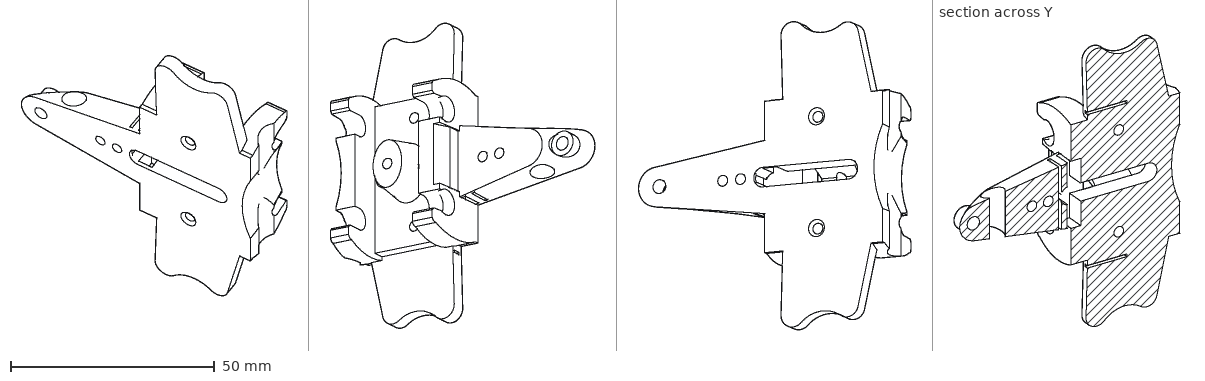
import cadquery as cq
import math

OVERSHOOT = 3.8

body_front = 28.4
body_rear = 60.3
body_half_width = 18.9
hub_height = 7.1

tail_height = 8.0
nose_radius = 4.95
nose_x = -0.7
tail_root_half_width = 9.15
root_overlap = 0.8
nose_slope = [(0, 0), (1.4, 0.8), (2.7, 2.2), (4.2, 4.1), (5.95, 6.7), (7.2, 8.55), (tail_height, 10.2)]
boss_diameter = 6.25
boss_height = 6.0
pin_hole_diameter = 3.4
cross_hole_diameter = 6.0
cross_hole_x = 7.0
cross_hole_y = 4.1
tail_slit = (24.9, 25.65)
tail_channel = (27.5, 31.3)
slit_bottom = 1.1

wing_thickness = 3.9
wing_tip = 38.2
wing_root_front = 33.3
wing_root_rear = 57.2
front_lobe_radius = 3.2
front_lobe_x = 36.0
rear_lobe_radius = 3.05
rear_lobe_x = 50.7
rear_lobe_z = 33.8
lobe_hollow_radius = 8.4
wing_slit_z = 21.1
wing_slit_height = 0.6
wing_slit_top = 3.1
wing_slit_depth = 11.45

hook_height = 19.0
hook_front_rear = 35.35
hook_rear_front = 53.9
hook_face_lean = 1.15
hook_face_lean_middle = 0.3
hook_crown = 20.5
hook_crown_y = 8.5
hook_foot_y = 1.15
tip_corner = 0.6
tip_outer_z = 17.4
tip_round_start = (17.6, 18.4)
tip_round_middle = (18.6, 18.0)
lip_height = 16.1
notch_y = 14.05
notch_z = 12.05
notch_radius = 2.75
flare_face = 28.6
flare_radius = 3.35
flare_offset = 0.6
flare_depth = 2.7
web_half_width = 7.9
web_face = 29.1
web_bevel_y = 11.75
web_bevel_x = 31.1

scallop_depth = 2.4
scallop_half_chord = 10.6
groove_floor_x = 58.4
groove_y = 8.0
groove_radius = 5.3

post_hole_x = 44.5
post_base = (38.5, 49.8)
post_top = (40.3, 48.6)
post_half_width = 7.6
post_top_half_width = 6.1
post_groove_rise = 3.05
post_groove_flat = 0.9

slot_front = 25.5
slot_rear = 53.5
slot_width = 4.9
screw_hole_diameter = 2.7
screw_sink_diameter = 4.3
screw_x = 42.45
screw_z = 14.0
tail_hole_xs = (17.1, 21.9)


def box(x0, x1, y0, y1, z0, z1):
    return cq.Workplane("XY").box(x1 - x0, y1 - y0, z1 - z0, centered=False).translate((x0, y0, z0))


def cylinder(x, z, diameter, y0, y1):
    """Round bar along Y."""
    return cq.Workplane("XZ", origin=(x, y0, z)).circle(diameter / 2).extrude(y0 - y1)


def mirrored(shape):
    return shape.union(shape.mirror("XY"))


def tail_section(height, shift):
    """Outline of the tail at one height: a round nose with straight sides to the body."""
    centre = nose_x + shift
    length = body_front - centre
    reach = math.hypot(length, tail_root_half_width)
    angle = math.atan2(tail_root_half_width, length) + math.acos(nose_radius / reach)
    tangent_x = centre + nose_radius * math.cos(angle)
    tangent_z = nose_radius * math.sin(angle)
    outline = (
        cq.Workplane("XZ", origin=(0, height, 0))
        .moveTo(body_front + root_overlap, tail_root_half_width)
        .lineTo(body_front, tail_root_half_width)
        .lineTo(tangent_x, tangent_z)
        .threePointArc((centre - nose_radius, 0), (tangent_x, -tangent_z))
        .lineTo(body_front, -tail_root_half_width)
        .lineTo(body_front + root_overlap, -tail_root_half_width)
        .close()
    )
    return outline.val()


def make_tail():
    sections = [tail_section(height, shift) for height, shift in nose_slope]
    tail = cq.Workplane(cq.Solid.makeLoft(sections))
    return tail.union(cylinder(0, 0, boss_diameter, 0, boss_height))


def cut_tail(part):
    part = part.cut(cylinder(0, 0, boss_diameter, boss_height, tail_height + OVERSHOOT))
    part = part.cut(cylinder(0, 0, pin_hole_diameter, -OVERSHOOT, tail_height))
    cross_hole = cq.Workplane("XY").center(cross_hole_x, cross_hole_y).circle(cross_hole_diameter / 2)
    return part.cut(cross_hole.extrude(tail_root_half_width, both=True))


def make_wing():
    front_lobe_z = wing_tip - front_lobe_radius
    dx = rear_lobe_x - front_lobe_x
    dz = rear_lobe_z - front_lobe_z
    spacing = math.hypot(dx, dz)
    to_front = lobe_hollow_radius + front_lobe_radius
    to_rear = lobe_hollow_radius + rear_lobe_radius
    along = (spacing**2 + to_front**2 - to_rear**2) / (2 * spacing)
    across = math.sqrt(to_front**2 - along**2)
    hollow_x = front_lobe_x + (along * dx - across * dz) / spacing
    hollow_z = front_lobe_z + (along * dz + across * dx) / spacing
    front_share = front_lobe_radius / to_front
    rear_share = rear_lobe_radius / to_rear
    front_touch = (
        front_lobe_x + front_share * (hollow_x - front_lobe_x),
        front_lobe_z + front_share * (hollow_z - front_lobe_z),
    )
    rear_touch = (
        rear_lobe_x + rear_share * (hollow_x - rear_lobe_x),
        rear_lobe_z + rear_share * (hollow_z - rear_lobe_z),
    )
    root_dx = wing_root_rear - rear_lobe_x
    root_dz = body_half_width - rear_lobe_z
    edge_angle = math.atan2(root_dz, root_dx) + math.acos(rear_lobe_radius / math.hypot(root_dx, root_dz))
    edge_touch = (
        rear_lobe_x + rear_lobe_radius * math.cos(edge_angle),
        rear_lobe_z + rear_lobe_radius * math.sin(edge_angle),
    )
    wing = (
        cq.Workplane("XZ")
        .moveTo(wing_root_front, 0)
        .lineTo(wing_root_front, body_half_width)
        .lineTo(front_lobe_x - front_lobe_radius, front_lobe_z)
        .threePointArc((front_lobe_x, wing_tip), front_touch)
        .threePointArc((hollow_x, hollow_z - lobe_hollow_radius), rear_touch)
        .threePointArc((rear_lobe_x, rear_lobe_z + rear_lobe_radius), edge_touch)
        .lineTo(wing_root_rear, body_half_width)
        .lineTo(wing_root_rear, 0)
        .close()
        .extrude(-wing_thickness)
    )
    slit = box(
        body_front, wing_root_front + wing_slit_depth, slit_bottom, wing_slit_top,
        wing_slit_z - wing_slit_height / 2, wing_slit_z + wing_slit_height / 2,
    )
    return wing.cut(slit)


def hook_plate(x0, x1):
    """Pair of hooks joined at the middle, as one plate between two X positions."""
    half = (
        cq.Workplane("YZ", origin=(x0, 0, 0))
        .moveTo(0, 0)
        .lineTo(0, body_half_width)
        .lineTo(hook_foot_y, body_half_width)
        .threePointArc((hook_crown_y, hook_crown), tip_round_start)
        .threePointArc(tip_round_middle, (hook_height, tip_outer_z))
        .lineTo(hook_height, notch_z + notch_radius + tip_corner)
        .lineTo(hook_height - tip_corner, notch_z + notch_radius)
        .lineTo(notch_y, notch_z + notch_radius)
        .threePointArc((notch_y - notch_radius, notch_z), (notch_y, notch_z - notch_radius))
        .lineTo(lip_height, notch_z - notch_radius)
        .lineTo(lip_height, 0)
        .close()
        .extrude(x1 - x0)
    )
    return mirrored(half)


def notch_flare():
    """Off-centre conical mouth of a notch on the front hooks."""
    mouth_y = notch_y - flare_offset
    mouth = cq.Workplane("YZ", origin=(flare_face, mouth_y, notch_z)).circle(flare_radius).wire()
    throat_x = flare_face + flare_depth
    throat = cq.Workplane("YZ", origin=(throat_x, notch_y, notch_z)).circle(notch_radius).wire()
    return cq.Workplane(cq.Solid.makeLoft([mouth.val(), throat.val()], True))


def make_body():
    """Base block with front and rear hooks, between gently curved front and rear faces."""
    front_hooks = hook_plate(body_front, hook_front_rear).cut(mirrored(notch_flare()))
    web_recess = (
        cq.Workplane("XY", origin=(0, 0, -web_half_width))
        .moveTo(body_front, tail_height)
        .lineTo(web_face, tail_height)
        .lineTo(web_face, web_bevel_y)
        .lineTo(web_bevel_x, lip_height)
        .lineTo(body_front, lip_height)
        .close()
        .extrude(2 * web_half_width)
    )
    front_hooks = front_hooks.cut(web_recess)
    rear_hooks = hook_plate(hook_rear_front, body_rear)
    hub = box(hook_front_rear, hook_rear_front, 0, hub_height, -body_half_width, body_half_width)
    clear_width = hook_crown + OVERSHOOT
    side_profile = (
        cq.Workplane("XY", origin=(0, 0, -clear_width))
        .moveTo(body_front, 0)
        .lineTo(body_rear, 0)
        .threePointArc(
            (body_rear - hook_face_lean_middle, hook_height / 2),
            (body_rear - hook_face_lean, hook_height),
        )
        .lineTo(body_front + hook_face_lean, hook_height)
        .threePointArc((body_front + hook_face_lean_middle, hook_height / 2), (body_front, 0))
        .close()
        .extrude(2 * clear_width)
    )
    body = front_hooks.union(rear_hooks).union(hub).intersect(side_profile)
    groove = cq.Workplane("XY").center(groove_floor_x + groove_radius, groove_y).circle(groove_radius)
    return body.cut(groove.extrude(clear_width, both=True))


def make_post():
    """Tapered oval post over the slot, with a gabled groove underneath."""
    wires = []
    for (x0, x1), half_width, y in (
        (post_base, post_half_width, hub_height),
        (post_top, post_top_half_width, lip_height),
    ):
        oval = cq.Workplane("XZ", origin=((x0 + x1) / 2, y, 0)).ellipse((x1 - x0) / 2, half_width).wire()
        wires.append(oval.val())
    post = cq.Workplane(cq.Solid.makeLoft(wires, True))
    gable = (
        cq.Workplane("YZ", origin=(body_front, 0, 0))
        .polyline([
            (hub_height, -slot_width / 2),
            (hub_height, slot_width / 2),
            (hub_height + post_groove_rise, post_groove_flat / 2),
            (hub_height + post_groove_rise, -post_groove_flat / 2),
        ])
        .close()
        .extrude(body_rear - body_front)
    )
    return post.cut(gable).cut(cylinder(post_hole_x, 0, screw_hole_diameter, hub_height, hook_height))


def cut_face_openings(part):
    """Long slot with the cross slits that meet it, then the screw holes."""
    slot = (
        cq.Workplane("XZ", origin=((slot_front + slot_rear) / 2, 0, 0))
        .slot2D(slot_rear - slot_front, slot_width)
        .extrude(-hub_height)
    )
    for start, end in (tail_slit, tail_channel):
        slit = box(start, end, slit_bottom, hub_height, -tail_root_half_width, tail_root_half_width)
        slot = slot.union(slit)
    part = part.cut(slot)
    for x in tail_hole_xs:
        part = part.cut(cylinder(x, 0, screw_hole_diameter, -OVERSHOOT, tail_height + OVERSHOOT))
    sink_depth = (screw_sink_diameter - screw_hole_diameter) / 2
    for z in (-screw_z, screw_z):
        part = part.cut(cylinder(screw_x, z, screw_hole_diameter, -OVERSHOOT, hub_height + OVERSHOOT))
        sink = cq.Solid.makeCone(
            screw_sink_diameter / 2, screw_hole_diameter / 2, sink_depth,
            cq.Vector(screw_x, 0, z), cq.Vector(0, 1, 0),
        )
        part = part.cut(cq.Workplane(sink))
    return part


def cut_scallop(part):
    """Shallow round hollow in the rear edge."""
    radius = (scallop_half_chord**2 + scallop_depth**2) / (2 * scallop_depth)
    centre_x = body_rear - scallop_depth + radius
    return part.cut(cylinder(centre_x, 0, 2 * radius, -OVERSHOOT, hook_height + OVERSHOOT))


part = make_body().union(mirrored(make_wing()))
part = cut_scallop(part)
part = cut_tail(part.union(make_tail()))
part = cut_face_openings(part)
result = part.union(make_post())